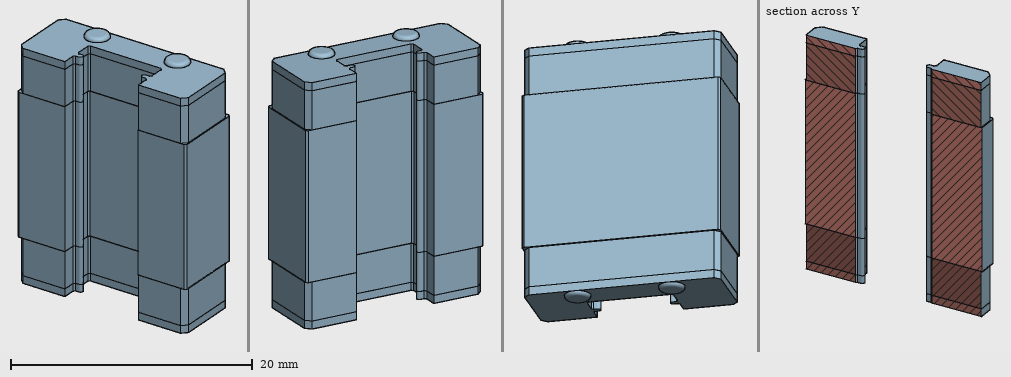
import cadquery as cq

block_width = 16.95
block_thickness = 6.5
overall_length = 22.6
block_chamfer = 0.18
block_roof = 0.23

head_height = 0.35
head_radius = 1.1
head_flat_radius = head_radius - head_height
screw_x = 4.02
screw_y = 2.0

end_width = 16.77
end_back = 3.1
end_front = -3.23
end_chamfer = 0.47
end_roof = 0.27
seal_thickness = 0.72
cap_length = 3.48

slot_width = 7.37
slot_chamfer = 0.15
tongue_tip_x = 2.95
tongue_y = -1.65
tongue_radius = 0.25

seal_outer_z = overall_length / 2 - head_height
cap_outer_z = seal_outer_z - seal_thickness
block_half_length = cap_outer_z - cap_length


def slot_half_section(roof, front):
    """Closed half section of the rail slot on the +X side, down to the open front."""
    wall_x = slot_width / 2
    top_y = tongue_y + tongue_radius
    bottom_y = tongue_y - tongue_radius
    round_x = tongue_tip_x + tongue_radius
    return (
        cq.Workplane("XY")
        .moveTo(0, roof)
        .lineTo(wall_x - slot_chamfer, roof)
        .lineTo(wall_x, roof - slot_chamfer)
        .lineTo(wall_x, top_y + slot_chamfer)
        .lineTo(wall_x - slot_chamfer, top_y)
        .lineTo(round_x, top_y)
        .threePointArc((tongue_tip_x, tongue_y), (round_x, bottom_y))
        .lineTo(wall_x - slot_chamfer, bottom_y)
        .lineTo(wall_x, bottom_y - slot_chamfer)
        .lineTo(wall_x, front)
        .lineTo(0, front)
        .close()
    )


def carriage_piece(width, front, back, chamfer, roof, start_z, length):
    """Prism with chamfered long edges, straddling the rail slot."""
    body = (
        cq.Workplane("XY")
        .center(0, (front + back) / 2)
        .rect(width, back - front)
        .extrude(length)
        .edges("|Z")
        .chamfer(chamfer)
    )
    half_slot = slot_half_section(roof, front).extrude(length)
    body = body.cut(half_slot).cut(half_slot.mirror("YZ"))
    return body.translate((0, 0, start_z))


def make_block():
    half_thickness = block_thickness / 2
    return carriage_piece(
        block_width, -half_thickness, half_thickness, block_chamfer, block_roof,
        -block_half_length, 2 * block_half_length,
    )


def make_end_piece(start_z, length):
    return carriage_piece(end_width, end_front, end_back, end_chamfer, end_roof, start_z, length)


def make_upper_screw_head(x):
    """Flat-topped button head whose rim is rounded over its full height."""
    arc_offset = head_height / 2**0.5
    return (
        cq.Workplane("XZ")
        .lineTo(head_radius, 0)
        .threePointArc((head_flat_radius + arc_offset, arc_offset), (head_flat_radius, head_height))
        .lineTo(0, head_height)
        .close()
        .revolve(360, (0, 0, 0), (0, 1, 0))
        .translate((x, screw_y, seal_outer_z))
    )


block = make_block()

upper_parts = [
    make_end_piece(block_half_length, cap_length),
    make_end_piece(cap_outer_z, seal_thickness),
]
for x in (-screw_x, screw_x):
    upper_parts.append(make_upper_screw_head(x))

bodies = [block.val()]
for part in upper_parts:
    bodies.append(part.val())
    bodies.append(part.mirror("XY").val())

result = cq.Compound.makeCompound(bodies)